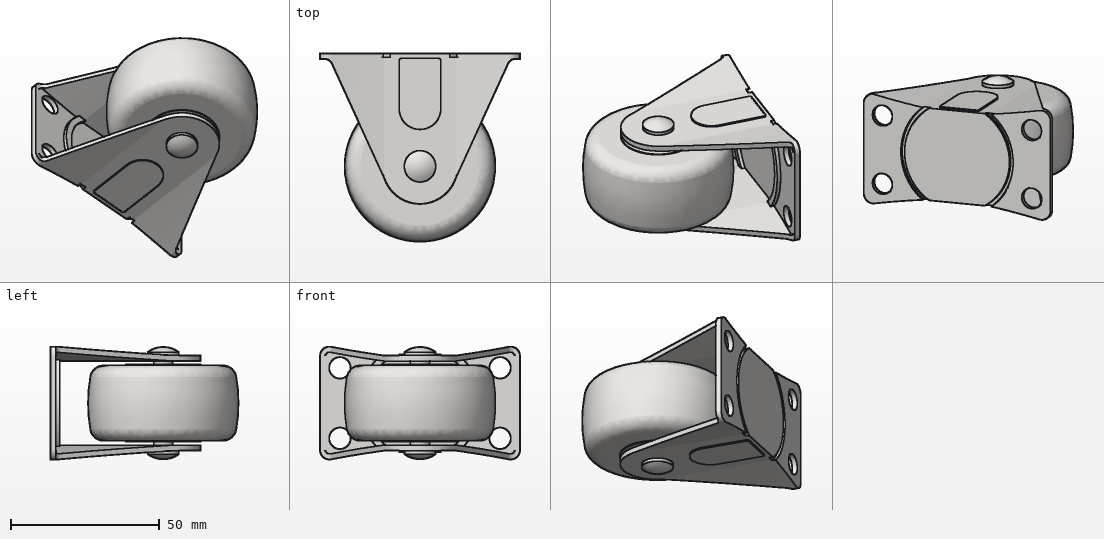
import cadquery as cq
import math


sheet = 1.9
plate_top = 38.05
plate_bottom = plate_top - sheet
half_length = 33.7
arm_outer = 16.05
arm_inner = arm_outer - sheet
crease_x = 12.1
corner_z = 19.75
wing_sag = 0.2
corner_radius = 3.25

arm_end_radius = 12.6
arm_taper = math.radians(24.6)
arm_root_radius = 2.7

hole_diameter = 7.15
hole_x = 27.0
hole_z = 11.9

ridge_outer = 20.7
ridge_inner = 18.35
groove_outer = 20.3
groove_inner = 18.95
press_depth = 1.3

pad_half_width = 7.0
pad_top = 36.35
pad_round_y = 19.4
pad_height = 0.5
pad_corner_radius = 0.7

wheel_radius = 25.4
wheel_half_width = 12.75
crown_edge_radius = 23.8
shoulder_radius = 4.7
hub_diameter = 25.4
hub_half_width = 13.0

shaft_diameter = 6.5
head_diameter = 10.6
head_rim_z = 17.2
head_top_z = 18.95


def outline_prism(y_top, y_bottom, inset=0.0):
    """Waisted plate outline, optionally inset, extruded down from y_top to y_bottom."""
    bow_x = (crease_x + half_length) / 2
    bow_z = (arm_outer + corner_z) / 2 - wing_sag
    outline = (
        cq.Workplane("XZ", origin=(0, y_top, 0))
        .moveTo(-crease_x, arm_outer)
        .lineTo(crease_x, arm_outer)
        .threePointArc((bow_x, bow_z), (half_length, corner_z))
        .lineTo(half_length, -corner_z)
        .threePointArc((bow_x, -bow_z), (crease_x, -arm_outer))
        .lineTo(-crease_x, -arm_outer)
        .threePointArc((-bow_x, -bow_z), (-half_length, -corner_z))
        .lineTo(-half_length, corner_z)
        .threePointArc((-bow_x, bow_z), (-crease_x, arm_outer))
        .close()
        .extrude(y_top - y_bottom)
        .edges("|Y and (<X or >X)")
        .fillet(corner_radius)
    )
    if inset:
        outline = outline.faces(">Y").wires().toPending().workplane(origin=(0, y_top, 0))
        outline = outline.offset2D(-inset).extrude(y_bottom - y_top, combine=False)
    return outline


def plate_ring(outer, inner, y_top, y_bottom):
    """Annulus lying parallel to the mounting plate."""
    return (
        cq.Workplane("XZ", origin=(0, y_top, 0))
        .circle(outer)
        .circle(inner)
        .extrude(y_top - y_bottom)
    )


def arm_side_shape():
    """Tapered arm shape with a round end and curved roots, thick enough for both arms."""
    tangent_x = arm_end_radius * math.cos(arm_taper)
    tangent_y = -arm_end_radius * math.sin(arm_taper)
    root_x = tangent_x + (plate_bottom - tangent_y) * math.tan(arm_taper)
    return (
        cq.Workplane("XY", origin=(0, 0, -corner_z))
        .moveTo(-tangent_x, tangent_y)
        .threePointArc((0, -arm_end_radius), (tangent_x, tangent_y))
        .lineTo(root_x, plate_bottom)
        .lineTo(half_length, plate_bottom)
        .lineTo(half_length, plate_top)
        .lineTo(-half_length, plate_top)
        .lineTo(-half_length, plate_bottom)
        .lineTo(-root_x, plate_bottom)
        .close()
        .extrude(2 * corner_z)
        .edges(cq.selectors.BoxSelector(
            (-root_x - 0.7, plate_bottom - 0.7, -0.7), (root_x + 0.7, plate_bottom + 0.7, 0.7)
        ))
        .edges("|Z")
        .fillet(arm_root_radius)
    )


def arm_pad():
    """Raised pad on the outside of the +Z arm."""
    return (
        cq.Workplane("XY", origin=(0, 0, arm_outer))
        .moveTo(-pad_half_width, pad_top)
        .lineTo(-pad_half_width, pad_round_y)
        .threePointArc((0, pad_round_y - pad_half_width), (pad_half_width, pad_round_y))
        .lineTo(pad_half_width, pad_top)
        .close()
        .extrude(pad_height)
        .edges("|Z and >Y")
        .fillet(pad_corner_radius)
    )


def make_bracket():
    skin = outline_prism(plate_top, -arm_end_radius).cut(
        outline_prism(plate_top, -arm_end_radius, inset=sheet)
    )
    corner_center_x = half_length - corner_radius
    for side in (-1, 1):
        end_x = side * (corner_center_x + half_length) / 2
        end_gap = cq.Workplane("XY").box(corner_radius, 2 * plate_top, 2 * arm_outer)
        skin = skin.cut(end_gap.translate((end_x, 0, 0)))

    bracket = skin.intersect(arm_side_shape()).union(outline_prism(plate_top, plate_bottom))

    ridge_bottom = plate_bottom - press_depth
    ridge = plate_ring(ridge_outer, ridge_inner, plate_bottom, ridge_bottom)
    bracket = bracket.union(ridge.intersect(outline_prism(plate_bottom, ridge_bottom)))
    bracket = bracket.cut(
        plate_ring(groove_outer, groove_inner, plate_top, plate_top - press_depth)
    )

    mounting_holes = (
        cq.Workplane("XZ", origin=(0, plate_top, 0))
        .rect(2 * hole_x, 2 * hole_z, forConstruction=True)
        .vertices()
        .circle(hole_diameter / 2)
        .extrude(sheet)
    )
    bracket = bracket.cut(mounting_holes)

    pad = arm_pad()
    bracket = bracket.union(pad).union(pad.mirror("XY"))
    axle_hole = cq.Workplane("XY").circle(shaft_diameter / 2).extrude(arm_outer, both=True)
    return bracket.cut(axle_hole)


def make_wheel():
    tread = (
        cq.Workplane("XZ")
        .moveTo(0, -wheel_half_width)
        .lineTo(crown_edge_radius, -wheel_half_width)
        .threePointArc((wheel_radius, 0), (crown_edge_radius, wheel_half_width))
        .lineTo(0, wheel_half_width)
        .close()
        .revolve(360, (0, 0, 0), (0, 1, 0))
        .faces("<Z or >Z")
        .edges()
        .fillet(shoulder_radius)
    )
    hub = cq.Workplane("XY").circle(hub_diameter / 2).extrude(hub_half_width, both=True)
    bore = cq.Workplane("XY").circle(shaft_diameter / 2).extrude(hub_half_width, both=True)
    return tread.union(hub).cut(bore)


def make_axle():
    shaft_radius = shaft_diameter / 2
    head_radius = head_diameter / 2
    dome_height = head_top_z - head_rim_z
    sphere_radius = (head_radius**2 + dome_height**2) / (2 * dome_height)
    mid_x = head_radius / 2
    mid_z = head_top_z - sphere_radius + math.sqrt(sphere_radius**2 - mid_x**2)
    return (
        cq.Workplane("XZ")
        .moveTo(0, -head_top_z)
        .threePointArc((mid_x, -mid_z), (head_radius, -head_rim_z))
        .lineTo(head_radius, -arm_outer)
        .lineTo(shaft_radius, -arm_outer)
        .lineTo(shaft_radius, arm_outer)
        .lineTo(head_radius, arm_outer)
        .lineTo(head_radius, head_rim_z)
        .threePointArc((mid_x, mid_z), (0, head_top_z))
        .close()
        .revolve(360, (0, 0, 0), (0, 1, 0))
    )


bracket = make_bracket()
wheel = make_wheel()
axle = make_axle()

result = cq.Compound.makeCompound([bracket.val(), wheel.val(), axle.val()])